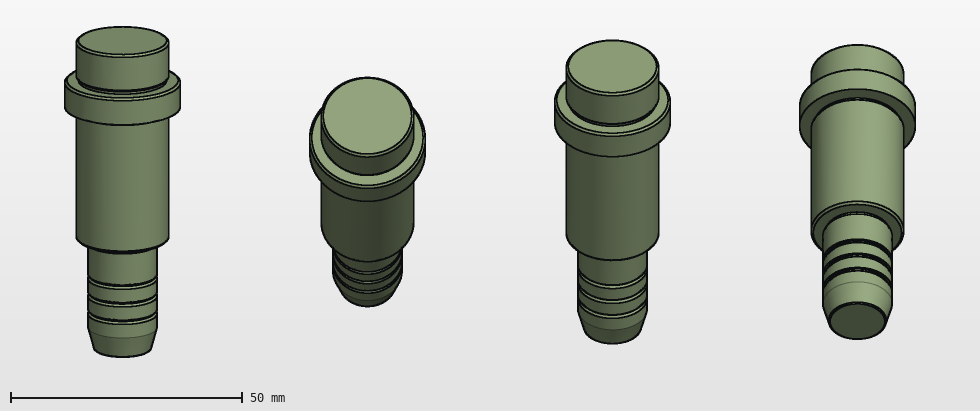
import cadquery as cq
import math

length = 70.0
collar_radius = 25.0 / 2
body_radius = 10.0
shank_radius = 7.5

edge = 0.5
tip_edge = edge / 2
groove_depth = edge
groove_width = 2 * edge

taper_top = 5.0
taper_angle = 15.0
first_groove_bottom = 8.0
groove_pitch = 4.0
groove_count = 3
neck_bottom = 24.0
body_bottom = neck_bottom + groove_width
collar_bottom = 55.0
collar_top = 61.0
button_edge = 62.0
button_bottom = button_edge - edge

taper_radius = shank_radius - taper_top * math.tan(math.radians(taper_angle))
shank_floor_radius = shank_radius - groove_depth
body_floor_radius = body_radius - groove_depth


def cylinder(radius, bottom, top):
    """Solid cylinder on the Z axis between two levels."""
    return cq.Workplane("XY").workplane(offset=bottom).circle(radius).extrude(top - bottom)


def barb_groove(bottom):
    """Ring cutter: straight shoulder on top, 45 degree flank below."""
    flank_end = bottom + groove_depth
    top = bottom + groove_width
    return (
        cq.Workplane("XZ")
        .moveTo(shank_radius, bottom)
        .lineTo(shank_floor_radius, flank_end)
        .lineTo(shank_floor_radius, top)
        .lineTo(collar_radius, top)
        .lineTo(collar_radius, bottom)
        .close()
        .revolve(360, (0, 0, 0), (0, 1, 0))
    )


tip = (
    cq.Workplane("XY")
    .circle(taper_radius)
    .workplane(offset=taper_top)
    .circle(shank_radius)
    .loft(combine=True)
    .faces("<Z")
    .chamfer(tip_edge)
)

shank = cylinder(shank_radius, taper_top, neck_bottom)
for index in range(groove_count):
    shank = shank.cut(barb_groove(first_groove_bottom + index * groove_pitch))
neck = cylinder(shank_floor_radius, neck_bottom, body_bottom)

body = cylinder(body_radius, body_bottom, collar_bottom - edge).edges().chamfer(edge)
collar = cylinder(collar_radius, collar_bottom, collar_top).faces(">Z").edges().chamfer(edge)
button = cylinder(body_radius, button_bottom, length).edges().chamfer(edge)
core = cylinder(body_floor_radius, body_bottom + edge, length - edge)

result = tip.union(shank).union(neck).union(core).union(body).union(collar).union(button)